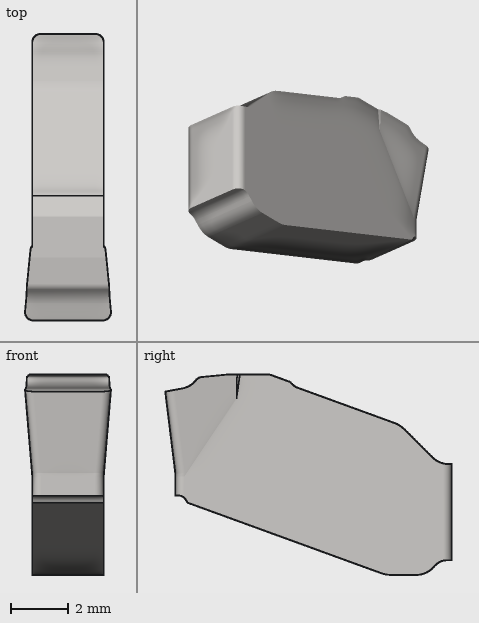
import cadquery as cq
import math

length = 10.0
height = 7.0
slab_width = 2.5
edge_radius = 0.3

back_bottom_z = 0.51
back_top_z = 3.875
tip_z = 6.4
front_y = 0.35
front_bottom_z = 2.77
front_bend_z = 3.56
body_slope = math.tan(math.radians(20))

flare_apex = (2.49, 6.16)
flare_foot = (0.69, 3.47)
flare_slope = 0.1276
ramp_top = (2.61, height)
ramp_slope = math.tan(math.radians(30))
wedge_reach = 5.0
selection_margin = 0.01

lower_front_y = 0.633
lower_step_y = 0.783
lower_step_z = 2.52
underside_front_y = lower_step_y + lower_step_z / body_slope
underside_back_y = 9.087

upper_back_y = 9.556
upper_bend_y = 8.195
upper_bend_z = back_top_z + upper_back_y - upper_bend_y
step_foot_y = 4.517
step_foot_z = upper_bend_z + (upper_bend_y - step_foot_y) * body_slope
step_top_y = 4.35
step_top_z = step_foot_z + step_foot_y - step_top_y
crest_back_y = step_top_y - (height - step_top_z) / body_slope
crest_front_y = 2.2
notch_top_y, notch_top_z = 1.153, 6.898
notch_foot_y, notch_foot_z = 0.891, 6.568

outline_corners = [
    (0, tip_z, 0),
    (front_y, front_bend_z, 0),
    (front_y, front_bottom_z, 0),
    (lower_front_y, front_bottom_z, 0.3),
    (lower_step_y, lower_step_z, 0),
    (underside_front_y, 0, 1.0),
    (underside_back_y, 0, 0.8),
    (underside_back_y + back_bottom_z, back_bottom_z, 0.5),
    (length, back_bottom_z, 0),
    (length, back_top_z, 0),
    (upper_back_y, back_top_z, 0.8),
    (upper_bend_y, upper_bend_z, 1.0),
    (step_foot_y, step_foot_z, 0.5),
    (step_top_y, step_top_z, 0),
    (crest_back_y, height, 0.2),
    (crest_front_y, height, 0.3),
    (notch_top_y, notch_top_z, 0.3),
    (notch_foot_y, notch_foot_z, 0.75),
]


def rounded_outline(corners):
    """Closed YZ outline through the corners, each rounded by a tangent arc of its radius."""
    points = [cq.Vector(y, z) for y, z, _ in corners]
    outline = cq.Workplane("YZ").moveTo(points[0].x, points[0].y)
    for i in range(1, len(corners)):
        corner = points[i]
        radius = corners[i][2]
        to_previous = (points[i - 1] - corner).normalized()
        to_next = (points[(i + 1) % len(points)] - corner).normalized()
        half_angle = to_previous.getAngle(to_next) / 2
        setback = radius / math.tan(half_angle)
        start = corner + to_previous * setback
        outline = outline.lineTo(start.x, start.y)
        if radius:
            middle_distance = radius / math.sin(half_angle) - radius
            middle = corner + (to_previous + to_next).normalized() * middle_distance
            end = corner + to_next * setback
            outline = outline.threePointArc((middle.x, middle.y), (end.x, end.y))
    return outline.close()


def extruded(width):
    """Outline extruded to the full width, centred on X = 0."""
    return rounded_outline(outline_corners).extrude(width / 2, both=True)


def widening_wedge(upper, lower, slope):
    """Prism along the line upper-lower, slab-wide there and widening toward the front by slope."""
    along = (cq.Vector(0, *lower) - cq.Vector(0, *upper)).normalized()
    plane = cq.Plane(origin=(0, *upper), xDir=(1, 0, 0), normal=along.toTuple())
    half = slab_width / 2
    wide = half + wedge_reach * slope
    corners = [(-half, 0), (half, 0), (wide, wedge_reach), (-wide, wedge_reach)]
    return cq.Workplane(plane).polyline(corners).close().extrude(wedge_reach, both=True)


def built_body():
    """Slab joined to its flared front, with the upright edges still sharp."""
    slab = extruded(slab_width)
    flare = extruded(2 * slab_width)
    flare = flare.intersect(widening_wedge(flare_apex, flare_foot, flare_slope))
    flare = flare.intersect(widening_wedge(ramp_top, flare_apex, ramp_slope))
    return slab.union(flare)


def rounded_end(body, y_range, z_range):
    """Round the upright side edges whose centres lie within the given Y and Z ranges."""
    inner_x = slab_width / 2 - selection_margin
    corners = [
        cq.selectors.BoxSelector(
            (side * inner_x, y_range[0] - selection_margin, z_range[0] + selection_margin),
            (side * slab_width, y_range[1] + selection_margin, z_range[1] - selection_margin),
        )
        for side in (-1, 1)
    ]
    return body.edges(corners[0] + corners[1]).fillet(edge_radius)


result = built_body()
result = rounded_end(result, (length, length), (back_bottom_z, back_top_z))
result = rounded_end(result, (0, front_y), (front_bottom_z, tip_z))